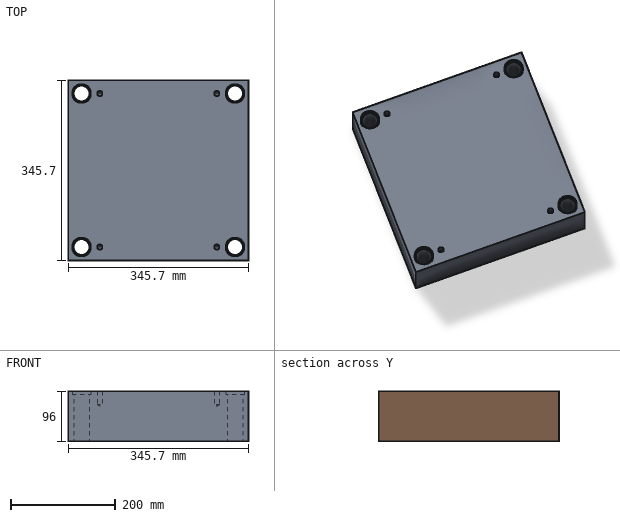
import cadquery as cq
import math

side = 345.7
height = 96.0

corner_pitch = 294.0
through_diameter = 30.0
counterbore_diameter = 36.0
counterbore_depth = 6.3

drill_pitch_x = 224.0
drill_pitch_y = corner_pitch
drill_diameter = 10.2
drill_depth = 25.0
drill_tip_angle = 120.0


def make_block():
    return cq.Workplane("XY").box(side, side, height, centered=(True, True, False))


def four_points(pitch_x, pitch_y):
    """Corners of a rectangle centred on the block."""
    return [(sx * pitch_x / 2, sy * pitch_y / 2) for sx in (-1, 1) for sy in (-1, 1)]


def counterbored_hole():
    """Cutter on the Z axis for one stepped through hole."""
    bore = cq.Workplane("XY").circle(through_diameter / 2).extrude(height)
    step = (
        cq.Workplane("XY")
        .workplane(offset=height - counterbore_depth)
        .circle(counterbore_diameter / 2)
        .extrude(counterbore_depth)
    )
    return bore.union(step)


def drilled_hole():
    """Cutter on the Z axis for one blind hole with a conical drill tip."""
    radius = drill_diameter / 2
    tip_length = radius / math.tan(math.radians(drill_tip_angle / 2))
    shoulder_z = height - drill_depth
    return (
        cq.Workplane("XZ")
        .moveTo(0, height)
        .lineTo(radius, height)
        .lineTo(radius, shoulder_z)
        .lineTo(0, shoulder_z - tip_length)
        .close()
        .revolve(360, (0, 0, 0), (0, 1, 0))
    )


def cut_at(body, cutter, points):
    for x, y in points:
        body = body.cut(cutter.translate((x, y, 0)))
    return body


result = make_block()
result = cut_at(result, counterbored_hole(), four_points(corner_pitch, corner_pitch))
result = cut_at(result, drilled_hole(), four_points(drill_pitch_x, drill_pitch_y))